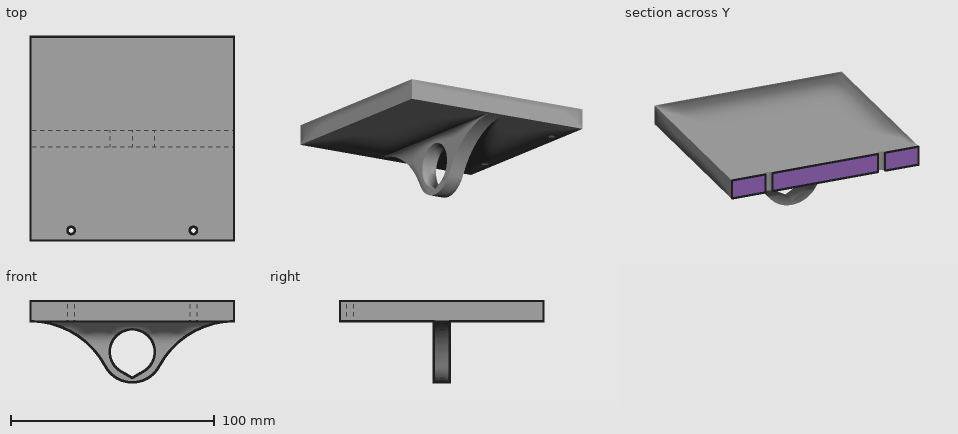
import cadquery as cq
import math

plate_side = 100.0
plate_thickness = 10.0

screw_diameter = 3.5
screw_spacing = 60.0
screw_edge_distance = 5.0

eye_thickness = 8.0
eye_radius = 15.0
eye_hole_radius = 11.0
eye_notch_angle = math.radians(30)

half_side = plate_side / 2
flank_radius = half_side**2 / (4 * eye_radius)
flank_share = flank_radius / (flank_radius + eye_radius)
join_x = half_side * (1 - flank_share)
join_z = -flank_radius + flank_share * (flank_radius - eye_radius)
flank_sweep = math.atan2(half_side - join_x, flank_radius + join_z)
flank_mid_x = half_side - flank_radius * math.sin(flank_sweep / 2)
flank_mid_z = -flank_radius + flank_radius * math.cos(flank_sweep / 2)


def make_plate():
    screw_y = -half_side + screw_edge_distance
    return (
        cq.Workplane("XY")
        .box(plate_side, plate_side, plate_thickness, centered=(True, True, False))
        .faces(">Z")
        .workplane(origin=(0, 0, plate_thickness))
        .pushPoints([(-screw_spacing / 2, screw_y), (screw_spacing / 2, screw_y)])
        .hole(screw_diameter)
    )


def make_eye_body():
    return (
        cq.Workplane("XZ")
        .moveTo(-half_side, 0)
        .threePointArc((-flank_mid_x, flank_mid_z), (-join_x, join_z))
        .threePointArc((0, -2 * eye_radius), (join_x, join_z))
        .threePointArc((flank_mid_x, flank_mid_z), (half_side, 0))
        .close()
        .extrude(eye_thickness / 2, both=True)
    )


def make_eye_hole():
    """Round hole with a notch at the bottom whose walls are tangent to the circle."""
    tangent_x = eye_hole_radius * math.sin(eye_notch_angle)
    tangent_z = -eye_radius - eye_hole_radius * math.cos(eye_notch_angle)
    tip_z = -eye_radius - eye_hole_radius / math.cos(eye_notch_angle)
    return (
        cq.Workplane("XZ")
        .moveTo(-tangent_x, tangent_z)
        .threePointArc((0, -eye_radius + eye_hole_radius), (tangent_x, tangent_z))
        .lineTo(0, tip_z)
        .close()
        .extrude(eye_thickness / 2, both=True)
    )


result = make_plate().union(make_eye_body()).cut(make_eye_hole())